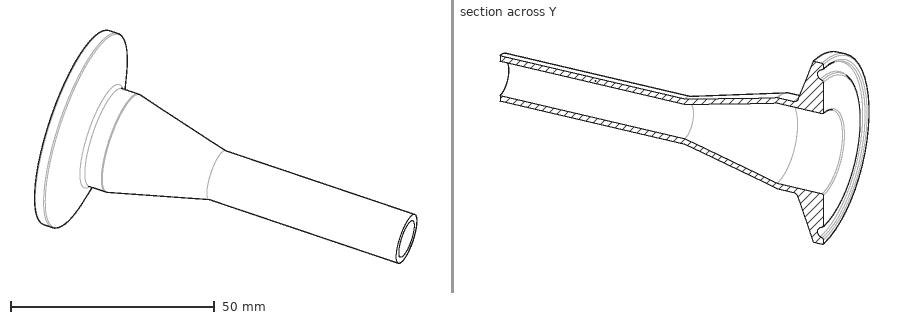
import cadquery as cq
import math

total_length = 88.9
ferrule_length = total_length / 7
reducer_length = 2 * ferrule_length
reducer_end = ferrule_length + reducer_length
rim_width = 2.85

flange_diameter = 50.4
ferrule_diameter = 25.4
tube_diameter = ferrule_diameter / 2
ferrule_bore = 22.1
tube_bore = 9.4

flange_back_angle = 20.0
neck_fillet = 1.1
rim_fillet = 0.4
bore_edge_fillet = 0.4
reducer_blend = 1.1

groove_diameter = 43.7
groove_depth = 1.6
groove_bottom_radius = 1.3
groove_wall_slope = math.radians(25)
groove_lip_fillet = 0.5

groove_wall_end = groove_depth - groove_bottom_radius * (1 - math.sin(groove_wall_slope))
groove_bottom_half_width = groove_bottom_radius * math.cos(groove_wall_slope)
groove_half_width = groove_bottom_half_width + groove_wall_end * math.tan(groove_wall_slope)

spin_axis = ((0, 0, 0), (1, 0, 0))

edge_tolerance = 0.01


def make_outer_body():
    """Solid of revolution: clamp flange, ferrule, reducer cone and tube."""
    flange_radius = flange_diameter / 2
    ferrule_radius = ferrule_diameter / 2
    tube_radius = tube_diameter / 2
    back_length = (flange_radius - ferrule_radius) * math.tan(math.radians(flange_back_angle))
    neck_start = rim_width + back_length
    profile = (
        cq.Workplane("XY")
        .lineTo(0, flange_radius)
        .lineTo(rim_width, flange_radius)
        .lineTo(neck_start, ferrule_radius)
        .lineTo(ferrule_length, ferrule_radius)
        .lineTo(reducer_end, tube_radius)
        .lineTo(total_length, tube_radius)
        .lineTo(total_length, 0)
        .close()
    )
    body = profile.revolve(360, *spin_axis)
    body = round_edge(body, neck_start, ferrule_radius, neck_fillet)
    body = round_edge(body, ferrule_length, ferrule_radius, reducer_blend)
    body = round_edge(body, rim_width, flange_radius, rim_fillet)
    return round_edge(body, 0, flange_radius, rim_fillet)


def make_bore():
    """Through passage that tapers along the reducer."""
    profile = (
        cq.Workplane("XY")
        .lineTo(0, ferrule_bore / 2)
        .lineTo(ferrule_length, ferrule_bore / 2)
        .lineTo(reducer_end, tube_bore / 2)
        .lineTo(total_length, tube_bore / 2)
        .lineTo(total_length, 0)
        .close()
    )
    return profile.revolve(360, *spin_axis)


def make_groove():
    """Ring with sloping walls that run smoothly into a round bottom."""
    middle_radius = groove_diameter / 2
    section = (
        cq.Workplane("XY")
        .moveTo(0, middle_radius - groove_half_width)
        .lineTo(groove_wall_end, middle_radius - groove_bottom_half_width)
        .threePointArc(
            (groove_depth, middle_radius),
            (groove_wall_end, middle_radius + groove_bottom_half_width),
        )
        .lineTo(0, middle_radius + groove_half_width)
        .close()
    )
    return section.revolve(360, *spin_axis)


def round_edge(body, position, radius, fillet_radius):
    """Fillet the circular edge of the given radius at a position along X."""

    def is_wanted(edge):
        right_place = math.isclose(edge.Center().x, position, abs_tol=edge_tolerance)
        return right_place and math.isclose(edge.radius(), radius, abs_tol=edge_tolerance)

    return body.edges("%CIRCLE").filter(is_wanted).fillet(fillet_radius)


result = make_outer_body().cut(make_bore()).cut(make_groove())
result = round_edge(result, 0, ferrule_bore / 2, bore_edge_fillet)
for side in (-1, 1):
    lip_radius = groove_diameter / 2 + side * groove_half_width
    result = round_edge(result, 0, lip_radius, groove_lip_fillet)